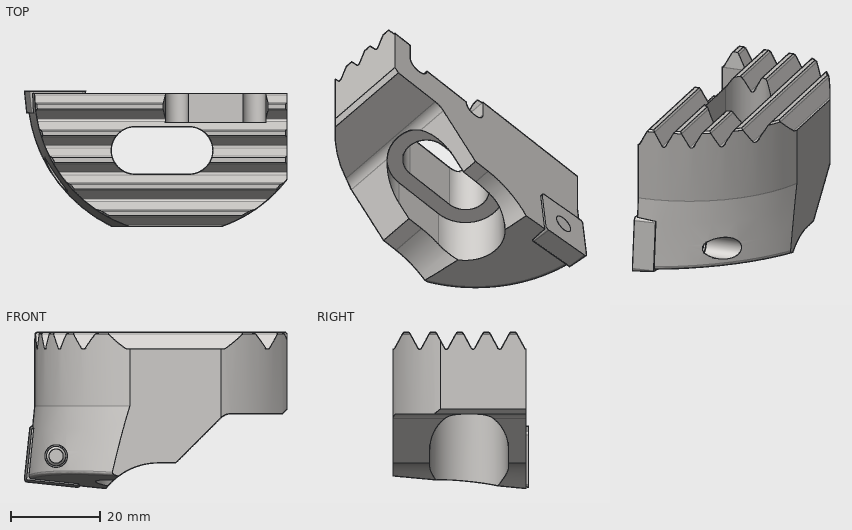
import cadquery as cq
import math


overall_length = 59.0

bore_radius = 31.6
body_depth = 29.9
end_face_x = 25.1
edge_chamfer = 0.4
flank_top_z = -16.65
flank_angle = 5.7
flank_height = 29.5

arm_bottom_z = -18.35
arm_end_chamfer = 1.05
arm_fillet = 3.55
ramp_top_x = 11.1
middle_bottom_z = -29.4
relief_radius = 15.0
relief_center_x = -3.85
lowest_z = -35.15
clearance_angle = 6.0
flank_fillet = 0.75

tooth_count = 5
tooth_pitch = 5.99
first_crest_y = -2.95
crest_width = 1.75
crest_flat = 1.05
groove_depth = 3.85
groove_bottom_width = 0.7

slot_center_x = -3.0
slot_center_y = -12.8
slot_length = 22.8
slot_width = 10.6
head_clearance = 3.55

key_center_x = 9.0
key_width = 22.55
key_boss_width = 12.2
key_depth_y = 6.5
key_floor_z = -8.85
key_flare = 0.55

insert_size = 12.7
insert_thickness = 4.9
insert_overhang = 0.55
insert_corner_radius = 0.75
tip_z = -33.65

screw_x = -26.8
screw_z = -27.85
screw_radius = 2.2
screw_tip_radius = 1.6
screw_tip_y = -13.35
screw_clearance_radius = 2.55
clearance_floor_y = -13.55

margin = 11.8
reach = 118.0

clearance_slope = math.tan(math.radians(clearance_angle))


def make_upright_block():
    """Vertical block between the two rounded sides, chamfered at the top."""
    front_half = math.sqrt(bore_radius**2 - body_depth**2)
    end_y = -math.sqrt(bore_radius**2 - end_face_x**2)
    mid = bore_radius * math.sqrt(0.5)
    end_angle = (math.atan2(end_y, end_face_x) + math.atan2(-body_depth, front_half)) / 2
    return (
        cq.Workplane("XY")
        .moveTo(-bore_radius, 0)
        .threePointArc((-mid, -mid), (-front_half, -body_depth))
        .lineTo(front_half, -body_depth)
        .threePointArc(
            (bore_radius * math.cos(end_angle), bore_radius * math.sin(end_angle)),
            (end_face_x, end_y),
        )
        .lineTo(end_face_x, 0)
        .close()
        .extrude(lowest_z - margin)
        .faces(">Z")
        .chamfer(edge_chamfer)
    )


def make_clearance_block(lowest_x):
    """Block below the cutting end, tilted by the clearance angle in X and Y."""
    plane = cq.Plane(
        origin=(lowest_x, 0, lowest_z),
        xDir=(1, 0, -clearance_slope),
        normal=(-clearance_slope, -clearance_slope, -1),
    )
    return cq.Workplane(plane).rect(reach, reach).extrude(reach)


def make_flank(clearance_block):
    """Flared lower side of the cutting end with its rounded lower edge."""
    flare = flank_height * math.tan(math.radians(flank_angle))
    cone = cq.Workplane(
        cq.Solid.makeCone(
            bore_radius,
            bore_radius + flare,
            flank_height,
            pnt=cq.Vector(0, 0, flank_top_z),
            dir=cq.Vector(0, 0, -1),
        )
    )
    rounded = cone.cut(clearance_block).faces("<Z").edges().fillet(flank_fillet)
    quarter = cq.Workplane("XY").box(reach, body_depth, reach).translate(
        (-reach / 2, -body_depth / 2, 0)
    )
    return rounded.intersect(quarter)


def make_side_profile():
    """Side silhouette of the housing, extruded across its whole depth."""
    relief_center_z = middle_bottom_z - relief_radius
    relief_mid = relief_radius * math.sqrt(0.5)
    ramp_bottom_x = ramp_top_x - (arm_bottom_z - middle_bottom_z)
    left_x = -bore_radius - margin
    profile = (
        cq.Workplane("XZ")
        .moveTo(left_x, 0)
        .lineTo(end_face_x, 0)
        .lineTo(end_face_x, arm_bottom_z + arm_end_chamfer)
        .lineTo(end_face_x - arm_end_chamfer, arm_bottom_z)
        .lineTo(ramp_top_x, arm_bottom_z)
        .lineTo(ramp_bottom_x, middle_bottom_z)
        .lineTo(relief_center_x, middle_bottom_z)
        .threePointArc(
            (relief_center_x - relief_mid, relief_center_z + relief_mid),
            (relief_center_x - relief_radius, relief_center_z),
        )
        .lineTo(left_x, relief_center_z)
        .close()
        .extrude(body_depth)
    )
    ramp_edge = cq.selectors.NearestToPointSelector((ramp_top_x, -body_depth / 2, arm_bottom_z))
    return profile.edges(ramp_edge).fillet(arm_fillet)


def make_serration_groove(center_y):
    """One groove between two teeth, with a rounded root and crest chamfers."""
    root_half = groove_bottom_width / 2
    flank_half = (tooth_pitch - crest_width) / 2
    top_half = (tooth_pitch - crest_flat) / 2
    root_rise = groove_bottom_width / 4
    return (
        cq.Workplane("YZ", origin=(-reach / 2, center_y, 0))
        .moveTo(-top_half, 0)
        .lineTo(-flank_half, -edge_chamfer)
        .lineTo(-root_half, root_rise - groove_depth)
        .threePointArc((0, -groove_depth), (root_half, root_rise - groove_depth))
        .lineTo(flank_half, -edge_chamfer)
        .lineTo(top_half, 0)
        .close()
        .extrude(reach)
    )


def make_slot_cutter():
    """Through slot, counterbored from below for the head of its bolt."""
    slot_at = cq.Workplane("XY").center(slot_center_x, slot_center_y)
    through = slot_at.slot2D(slot_length, slot_width).extrude(-reach)
    counterbore = (
        slot_at.workplane(offset=arm_bottom_z)
        .slot2D(slot_length + 2 * head_clearance, slot_width + 2 * head_clearance)
        .extrude(-reach)
    )
    return through.union(counterbore)


def make_key_pocket():
    """Pocket with two round-bottomed grooves beside a central boss."""
    half = key_width / 2
    boss_half = key_boss_width / 2
    groove_radius = (half - boss_half) / 2
    groove_center = boss_half + groove_radius
    return (
        cq.Workplane("XZ", origin=(key_center_x, 0, 0))
        .moveTo(-half - key_flare, 0)
        .lineTo(-half, -groove_depth)
        .lineTo(-half, key_floor_z)
        .threePointArc((-groove_center, key_floor_z - groove_radius), (-boss_half, key_floor_z))
        .lineTo(boss_half, key_floor_z)
        .threePointArc((groove_center, key_floor_z - groove_radius), (half, key_floor_z))
        .lineTo(half, -groove_depth)
        .lineTo(half + key_flare, 0)
        .close()
        .extrude(key_depth_y)
    )


def make_insert_blank():
    """Square cutting insert, tilted and tapered by the clearance angle."""
    tilt = math.radians(clearance_angle)
    corner_setback = insert_corner_radius * (math.cos(tilt) + math.sin(tilt) - 1)
    tip_x = end_face_x - overall_length - corner_setback
    plane = cq.Plane(
        origin=(tip_x, insert_overhang, tip_z),
        xDir=(math.cos(tilt), 0, -math.sin(tilt)),
        normal=(0, -1, 0),
    )
    return (
        cq.Workplane(plane)
        .sketch()
        .push([(insert_size / 2, insert_size / 2)])
        .rect(insert_size, insert_size)
        .reset()
        .vertices()
        .fillet(insert_corner_radius)
        .finalize()
        .extrude(insert_thickness, taper=clearance_angle)
    )


def make_screw_cylinder(radius, start_y, end_y):
    """Cylinder on the screw axis, from start_y towards -Y."""
    origin = (screw_x, start_y, screw_z)
    return cq.Workplane("XZ", origin=origin).circle(radius).extrude(start_y - end_y)


def make_screw():
    """Plain screw, flush with the insert, with a chamfered tip."""
    blank = make_screw_cylinder(screw_radius, insert_overhang, screw_tip_y)
    return blank.faces("<Y").chamfer(screw_radius - screw_tip_radius)


def make_housing(insert_blank):
    """Serrated housing with its slot, key pocket, screw hole and insert seat."""
    relief_drop = relief_radius - (middle_bottom_z - lowest_z)
    lowest_x = relief_center_x - math.sqrt(relief_radius**2 - relief_drop**2)
    clearance_block = make_clearance_block(lowest_x)
    flank_space = cq.Workplane("XY").box(reach, reach, reach).translate(
        (-reach / 2, 0, flank_top_z - reach / 2)
    )
    upper = make_upright_block().cut(flank_space)
    housing = upper.union(make_flank(clearance_block)).intersect(make_side_profile())
    for index in range(tooth_count + 1):
        groove_y = first_crest_y + tooth_pitch / 2 - index * tooth_pitch
        housing = housing.cut(make_serration_groove(groove_y))
    housing = housing.cut(make_slot_cutter()).cut(make_key_pocket())
    housing = housing.cut(make_screw_cylinder(screw_clearance_radius, clearance_floor_y, -body_depth))
    housing = housing.cut(make_screw_cylinder(screw_radius, insert_overhang, clearance_floor_y))
    return housing.cut(insert_blank)


insert_blank = make_insert_blank()
screw = make_screw()
housing = make_housing(insert_blank)
insert = insert_blank.cut(screw)

result = cq.Compound.makeCompound([housing.val(), insert.val(), screw.val()])